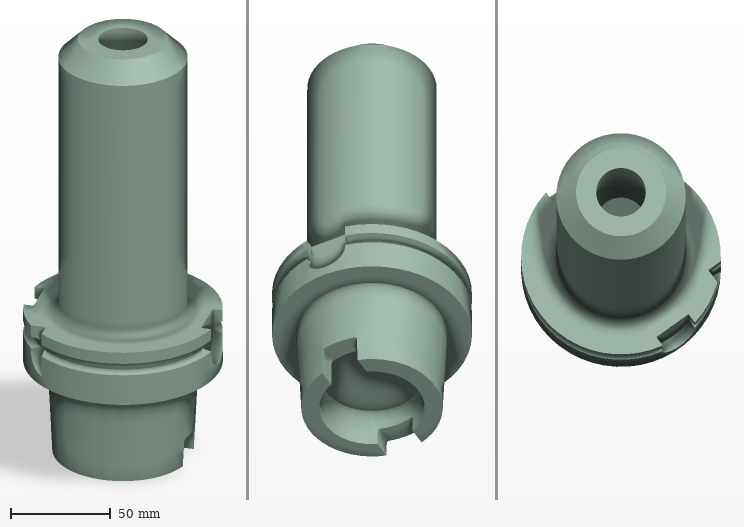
import cadquery as cq

total_height = 230.0

shank_height = 50.1
shank_tip_radius = 35.5
shank_root_radius = 38.0
shank_bore_radius = 26.5
shank_bore_depth = 23.0

flange_radius = 50.02
flange_top = 79.4
groove_center_z = 70.0
groove_floor_radius = 46.0
groove_floor_width = 4.0
groove_mouth_width = 6.5

nose_radius = 32.5
nose_fillet = 4.8
nose_tip_radius = 22.5
nose_chamfer_height = 10.0
tool_bore_radius = 12.5
tool_bore_depth = 69.0

slot_bottom_z = 55.2
slot_floor_x = 43.7
front_slot_width = 20.0
back_slot_width = 21.6

notch_corner = 31.3
notch_width = front_slot_width

keyway_width = 20.0
keyway_fillet = 1.4
front_keyway_depth = 10.4
back_keyway_depth = 15.2


def revolved_body():
    """Shank, flange and nose as one solid of revolution."""
    floor_half = groove_floor_width / 2
    mouth_half = groove_mouth_width / 2
    return (
        cq.Workplane("XZ")
        .moveTo(0, 0)
        .lineTo(shank_tip_radius, 0)
        .lineTo(shank_root_radius, shank_height)
        .lineTo(flange_radius, shank_height)
        .lineTo(flange_radius, groove_center_z - mouth_half)
        .lineTo(groove_floor_radius, groove_center_z - floor_half)
        .lineTo(groove_floor_radius, groove_center_z + floor_half)
        .lineTo(flange_radius, groove_center_z + mouth_half)
        .lineTo(flange_radius, flange_top)
        .lineTo(nose_radius + nose_fillet, flange_top)
        .radiusArc((nose_radius, flange_top + nose_fillet), nose_fillet)
        .lineTo(nose_radius, total_height - nose_chamfer_height)
        .lineTo(nose_tip_radius, total_height)
        .lineTo(0, total_height)
        .close()
        .revolve(360, (0, 0, 0), (0, 1, 0))
    )


def bore(radius, bottom_z, depth):
    """Cylinder on the main axis."""
    return cq.Workplane("XY").workplane(offset=bottom_z).circle(radius).extrude(depth)


def rim_slot(width, center_y, start_x, end_x):
    """Cutter along X, open at the flange top, with a half-round lower end."""
    radius = width / 2
    arc_center_z = slot_bottom_z + radius
    return (
        cq.Workplane("YZ")
        .workplane(offset=start_x)
        .moveTo(center_y - radius, flange_top)
        .lineTo(center_y - radius, arc_center_z)
        .threePointArc((center_y, slot_bottom_z), (center_y + radius, arc_center_z))
        .lineTo(center_y + radius, flange_top)
        .close()
        .extrude(end_x - start_x)
    )


def shank_keyway(depth, side):
    """Cutter through one shank wall; side is -1 or +1 along X."""
    cutter = cq.Workplane("XY").box(
        flange_radius, keyway_width, depth, centered=(True, True, False)
    )
    cutter = cutter.edges("|X and >Z").fillet(keyway_fillet)
    return cutter.translate((side * flange_radius / 2, 0, 0))


result = (
    revolved_body()
    .cut(bore(shank_bore_radius, 0, shank_bore_depth))
    .cut(bore(tool_bore_radius, total_height - tool_bore_depth, tool_bore_depth))
    .cut(rim_slot(front_slot_width, 0, -flange_radius, -slot_floor_x))
    .cut(rim_slot(back_slot_width, 0, slot_floor_x, flange_radius))
    .cut(rim_slot(notch_width, -notch_corner - notch_width / 2, -flange_radius, -notch_corner))
    .cut(shank_keyway(front_keyway_depth, -1))
    .cut(shank_keyway(back_keyway_depth, 1))
)